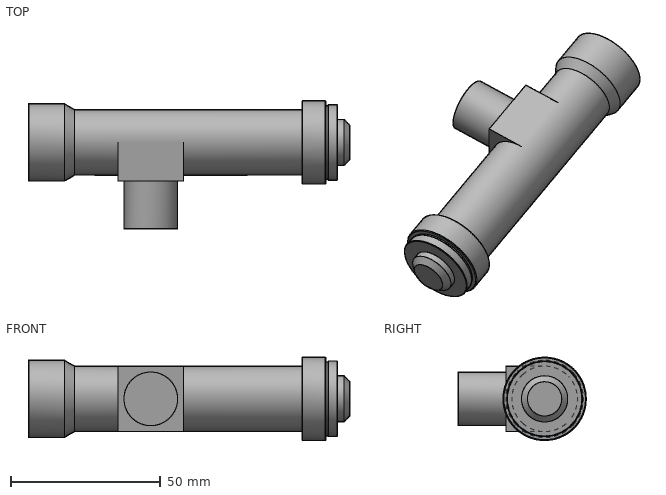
import cadquery as cq
import math

overall_length = 107.8
tube_radius = 11.0
head_radius = 13.0
head_length = 12.0
head_taper_angle = 30.0
head_taper_length = (head_radius - tube_radius) / math.tan(math.radians(head_taper_angle))

collar_start = 91.65
collar_width = 8.15
collar_radius = 14.0
collar_chamfer = 0.3

groove_width = 0.6
groove_radius = 12.4
ring_width = 3.2
ring_radius = 12.7
ring_chamfer = 0.2

tip_radius = 7.75
tip_taper = 2.0

block_size = 2 * tube_radius
block_start = 30.0
block_reach = 13.0
port_radius = 9.0
port_reach = 29.0

port_center = block_start + block_size / 2
collar_end = collar_start + collar_width
ring_start = collar_end + groove_width
ring_end = ring_start + ring_width


def cylinder_along_x(start, end, radius):
    return cq.Workplane("YZ", origin=(start, 0, 0)).circle(radius).extrude(end - start)


def make_head():
    taper_end = head_length + head_taper_length
    profile = [
        (0, 0),
        (0, head_radius),
        (head_length, head_radius),
        (taper_end, tube_radius),
        (taper_end, 0),
    ]
    return cq.Workplane("XY").polyline(profile).close().revolve(360, (0, 0, 0), (1, 0, 0))


def make_barrel():
    tube = cylinder_along_x(0, collar_start, tube_radius)
    collar = cylinder_along_x(collar_start, collar_end, collar_radius).edges().chamfer(collar_chamfer)
    groove = cylinder_along_x(collar_start, ring_start, groove_radius)
    ring = cylinder_along_x(ring_start, ring_end, ring_radius).edges().chamfer(ring_chamfer)
    tip = cylinder_along_x(ring_end, overall_length, tip_radius).faces(">X").edges().chamfer(tip_taper)
    return make_head().union(tube).union(collar).union(groove).union(ring).union(tip)


def make_side_port():
    block = cq.Workplane("XY").box(block_size, block_reach, block_size)
    block = block.translate((port_center, -block_reach / 2, 0))
    port = cq.Workplane("XZ", origin=(port_center, 0, 0)).circle(port_radius).extrude(port_reach)
    return block.union(port)


result = make_barrel().union(make_side_port())